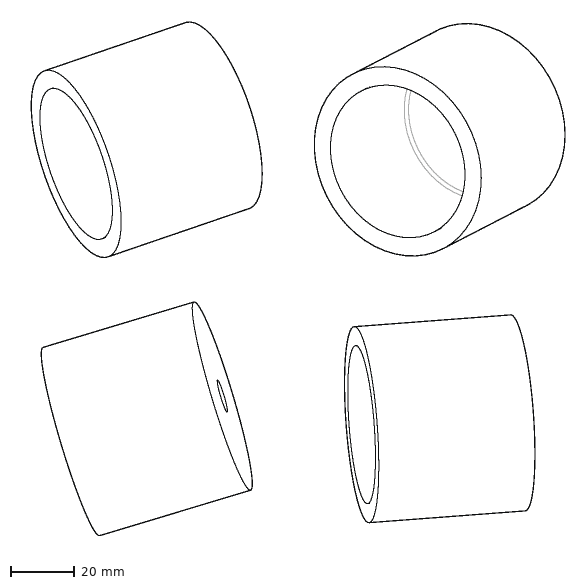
import cadquery as cq

outer_diameter = 62.0
length = 50.0
bore_diameter = 50.0
floor_thickness = 5.0
floor_hole_diameter = 10.5
corner_radius = 1.0

front_y = -length / 2
bore_depth = length - floor_thickness


def cylinder_along_y(diameter, start_y, depth):
    """Solid cylinder on the Y axis, running from start_y toward +Y."""
    plane = cq.Workplane(cq.Plane(origin=(0, start_y, 0), xDir=(1, 0, 0), normal=(0, 1, 0)))
    return plane.circle(diameter / 2).extrude(depth)


body = cylinder_along_y(outer_diameter, front_y, length)

bore = cylinder_along_y(bore_diameter, front_y, bore_depth).faces(">Y").edges().fillet(corner_radius)

floor_hole = cylinder_along_y(floor_hole_diameter, front_y, length)

result = body.cut(bore).cut(floor_hole)